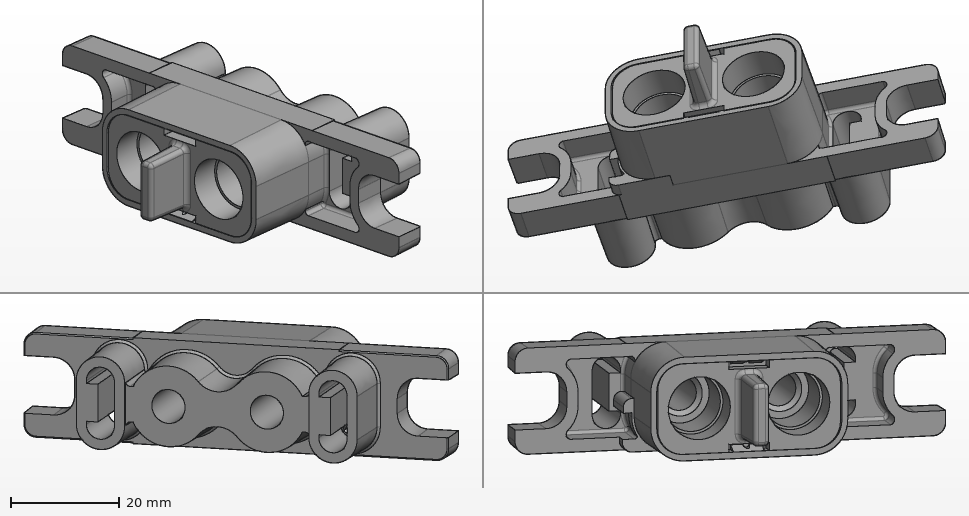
import cadquery as cq
import math

flange_length = 82.0
flange_height = 20.0
flange_thickness = 6.4
flange_middle_length = 39.7
flange_draft = 1.0
flange_back_chamfer = 0.25
tip_radius = 2.5
notch_width = 10.7
notch_floor_x = 31.2
notch_radius = 3.9

shroud_length = 38.0
shroud_depth = 14.6
shroud_corner_radius = 6.65
shroud_draft = 0.9

cavity_length = 35.3
cavity_height = 17.05
cavity_corner_radius = 5.1

pocket_depth = 5.1
pocket_height = 15.1
pocket_inner_x = 18.2
pocket_fork_wall = 2.1
pocket_bow_end_z = 5.8
pocket_outer_x = 31.25
pocket_corner_radius = 0.7
pocket_floor_fillet = 0.65

post_x = 22.4
post_radius = 4.9
post_straight = 8.2
post_back_y = 19.2
rear_draft = 1.2
barrel_x = 9.47
barrel_radius = 7.9
barrel_back_y = 18.5
valley_edge_x = 3.5
web_half_height = 3.6
web_fillet = 0.65
rear_base_skirt = 0.5

slot_radius = 2.7
slot_tongue_start = 0.5
slot_tongue_height = 7.1

key_outer_x = -21.0
key_front_y = -2.5
key_top_z = 0.1
key_bottom_z = -2.6
key_corner_radius = 1.55
foot_outer_x = -21.15
foot_lining = 0.4
foot_corner_radius = 1.8

insert_bore_radius = 5.9
insert_bore_depth = 5.7
insert_hole_radius = 5.4
contact_hole_radius = 3.2
contact_hole_chamfer = 0.9

insert_recess = 0.2
insert_end_gap = 0.25
blade_width = 3.45
blade_height = 12.2
blade_tip_y = -24.3
blade_draft = 1.5
blade_edge_radius = 0.9
blade_tip_radius = 0.8
blade_root_fillet = 0.94
latch_notch_width = 7.7
latch_notch_height = 1.5
latch_depth = 2.5
latch_width = 5.9
latch_height = 0.9
latch_groove_radius = 0.6

flange_half = flange_height / 2
shroud_front_y = -shroud_depth
insert_front_y = shroud_front_y + insert_recess
cavity_top_z = cavity_height / 2
pocket_bow_flat = notch_width - 2 * notch_radius
pocket_bow_radius = notch_radius + pocket_fork_wall
pocket_bow_x = notch_floor_x - pocket_fork_wall


def facing_front(y):
    """Work plane at y whose normal is -Y; local axes are X and Z."""
    return cq.Workplane("XZ", origin=(0, y, 0))


def facing_back(y):
    """Work plane at y whose normal is +Y; local axes are X and -Z."""
    return cq.Workplane(cq.Plane(origin=(0, y, 0), xDir=(1, 0, 0), normal=(0, 1, 0)))


def rounded_block(plane, length, height, radius, depth, taper=0.0):
    outline = cq.Sketch().rect(length, height).vertices().fillet(radius)
    return plane.placeSketch(outline).extrude(depth, taper=taper)


def mirrored_pair(solid):
    return solid.union(solid.mirror("YZ"))


def flange():
    middle = facing_back(0).rect(flange_middle_length, flange_height).extrude(flange_thickness)
    plate = (
        rounded_block(
            facing_back(0), flange_length, flange_height, tip_radius, flange_thickness, flange_draft
        )
        .faces(">Y").edges().chamfer(flange_back_chamfer)
    )
    notch_length = flange_length - notch_floor_x
    notch_centre_x = notch_floor_x + notch_length / 2
    notch = rounded_block(
        facing_back(0).center(notch_centre_x, 0),
        notch_length, notch_width, notch_radius, flange_thickness, -flange_draft,
    )
    return plate.union(middle).cut(mirrored_pair(notch))


def pocket_prism(front_y, depth):
    """Prism of the -X pocket outline, running back from front_y."""
    top = pocket_height / 2
    r = pocket_corner_radius
    slant = r * math.sqrt(0.5)
    flat = pocket_bow_flat / 2
    bow_centre_x = -pocket_bow_x - pocket_bow_radius

    def bow_x(z):
        return bow_centre_x + math.sqrt(pocket_bow_radius**2 - (z - flat) ** 2)

    bow_middle_z = (flat + pocket_bow_end_z) / 2
    corner_x = r - pocket_outer_x
    inner_x = -pocket_inner_x
    return (
        facing_back(front_y)
        .moveTo(-pocket_bow_x, -flat)
        .lineTo(-pocket_bow_x, flat)
        .threePointArc((bow_x(bow_middle_z), bow_middle_z), (bow_x(pocket_bow_end_z), pocket_bow_end_z))
        .threePointArc((corner_x - r, top - r), (corner_x, top))
        .lineTo(inner_x - r, top)
        .threePointArc((inner_x - r + slant, top - r + slant), (inner_x, top - r))
        .lineTo(inner_x, r - top)
        .threePointArc((inner_x - r + slant, r - slant - top), (inner_x - r, -top))
        .lineTo(corner_x, -top)
        .threePointArc((corner_x - r, r - top), (bow_x(pocket_bow_end_z), -pocket_bow_end_z))
        .threePointArc((bow_x(bow_middle_z), -bow_middle_z), (-pocket_bow_x, -flat))
        .close()
        .extrude(depth)
    )


def pocket():
    """Pocket of the -X side, bounded by the shroud wall and rounded along its floor."""
    shroud_core = rounded_block(
        facing_back(0), shroud_length, flange_height, shroud_corner_radius, pocket_depth
    )
    return pocket_prism(0, pocket_depth).cut(shroud_core).faces(">Y").edges().fillet(pocket_floor_fillet)


def shroud():
    return rounded_block(
        facing_front(0), shroud_length, flange_height, shroud_corner_radius, shroud_depth, shroud_draft
    )


def drafted_with_skirt(outline, height):
    """Drafted boss on the outline, widened by a sloped skirt at its base."""
    boss = outline.extrude(height, taper=rear_draft)
    skirt = outline.toPending().offset2D(rear_base_skirt).extrude(rear_base_skirt, taper=45)
    return boss.union(skirt)


def posts():
    post_height = post_straight + 2 * post_radius
    outline = facing_back(flange_thickness).center(post_x, 0).slot2D(post_height, 2 * post_radius, 90)
    return mirrored_pair(drafted_with_skirt(outline, post_back_y - flange_thickness))


def barrels():
    """Two barrels joined by a concave valley."""
    valley_radius = valley_edge_x * barrel_radius / (barrel_x - valley_edge_x)
    valley_centre_z = math.sqrt((barrel_radius + valley_radius) ** 2 - barrel_x**2)
    valley_z = valley_centre_z - valley_radius
    edge_z = valley_centre_z * barrel_radius / (barrel_radius + valley_radius)
    outer_x = barrel_x + barrel_radius
    outline = (
        facing_back(flange_thickness)
        .moveTo(-valley_edge_x, edge_z)
        .threePointArc((0, valley_z), (valley_edge_x, edge_z))
        .threePointArc((outer_x, 0), (valley_edge_x, -edge_z))
        .threePointArc((0, -valley_z), (-valley_edge_x, -edge_z))
        .threePointArc((-outer_x, 0), (-valley_edge_x, edge_z))
        .close()
    )
    return drafted_with_skirt(outline, barrel_back_y - flange_thickness)


def webs():
    """Web between each barrel and its post, filleted where it meets the post."""
    post_side_x = post_x - post_radius
    fillet_x = post_side_x - web_fillet
    fillet_z = web_half_height + web_fillet
    slant = web_fillet * math.sqrt(0.5)
    middle = (fillet_x + slant, fillet_z - slant)
    web = (
        facing_back(flange_thickness)
        .moveTo(barrel_x, -web_half_height)
        .lineTo(barrel_x, web_half_height)
        .lineTo(fillet_x, web_half_height)
        .threePointArc(middle, (post_side_x, fillet_z))
        .lineTo(post_x, fillet_z)
        .lineTo(post_x, -fillet_z)
        .lineTo(post_side_x, -fillet_z)
        .threePointArc((middle[0], -middle[1]), (fillet_x, -web_half_height))
        .close()
        .extrude(barrel_back_y - flange_thickness, taper=rear_draft)
    )
    return mirrored_pair(web)


def post_slot(x):
    plane = facing_back(0).center(x, 0)
    slot = plane.slot2D(post_straight + 2 * slot_radius, 2 * slot_radius, 90).extrude(post_back_y)
    tongue = (
        plane.center((slot_tongue_start + slot_radius) / 2, 0)
        .rect(slot_radius - slot_tongue_start, slot_tongue_height)
        .extrude(post_back_y)
    )
    return slot.cut(tongue)


def key():
    """Rounded key that stands on the pocket floor against the shroud wall."""
    length = -shroud_length / 2 - key_outer_x + 0.8
    height = key_top_z - key_bottom_z
    return (
        cq.Workplane("XY")
        .box(length, pocket_depth - key_front_y, height, centered=False)
        .edges("|Y and <X and >Z").fillet(key_corner_radius)
        .translate((key_outer_x, key_front_y, key_bottom_z))
    )


def foot():
    """Foot in front of the flange's lower edge, lining the shroud up to the key."""
    block = (
        cq.Workplane("XY")
        .box(-shroud_length / 4 - foot_outer_x, -key_front_y, key_bottom_z + flange_half, centered=False)
        .edges("|Y and <X and <Z").fillet(foot_corner_radius)
        .translate((foot_outer_x, key_front_y, -flange_half))
    )
    lining = rounded_block(
        facing_back(key_front_y),
        shroud_length + 2 * foot_lining,
        flange_height + 2 * foot_lining,
        shroud_corner_radius + foot_lining,
        -key_front_y,
    )
    return block.cut(pocket_prism(key_front_y, -key_front_y).cut(lining))


def cavity():
    return rounded_block(
        facing_front(0), cavity_length, cavity_height, cavity_corner_radius, shroud_depth
    )


def contact_holes():
    hole = facing_back(0).pushPoints([(-barrel_x, 0), (barrel_x, 0)])
    mouth_radius = contact_hole_radius + contact_hole_chamfer
    chamfer = hole.circle(mouth_radius).extrude(contact_hole_chamfer, taper=45)
    return hole.circle(contact_hole_radius).extrude(post_back_y).union(chamfer)


def latches():
    """Ramps on the cavity wall, rising away from the opening, each with a small groove."""
    ramp = (
        cq.Workplane("YZ", origin=(-latch_width / 2, 0, 0))
        .moveTo(insert_front_y, cavity_top_z)
        .lineTo(insert_front_y + latch_depth, cavity_top_z)
        .lineTo(insert_front_y + latch_depth, cavity_top_z - latch_height)
        .close()
        .extrude(latch_width)
    )
    groove = (
        facing_back(insert_front_y)
        .center(0, latch_height - cavity_top_z)
        .circle(latch_groove_radius)
        .extrude(latch_depth)
    )
    latch = ramp.cut(groove)
    return latch.union(latch.mirror("XY"))


def make_housing():
    body = flange().union(posts()).union(barrels()).union(webs())
    body = body.cut(mirrored_pair(pocket()))
    body = body.union(shroud()).union(foot()).union(key())
    body = body.cut(cavity()).cut(contact_holes())
    for x in (-post_x, post_x):
        body = body.cut(post_slot(x))
    return body.union(latches())


def blade():
    return (
        facing_front(insert_front_y)
        .rect(blade_width, blade_height)
        .extrude(insert_front_y - blade_tip_y, taper=blade_draft)
        .edges("not(<Y or >Y)").fillet(blade_edge_radius)
        .faces("<Y").edges().fillet(blade_tip_radius)
    )


def latch_notches():
    notch = (
        facing_back(insert_front_y)
        .center(0, cavity_top_z - latch_notch_height / 2)
        .rect(latch_notch_width, latch_notch_height)
        .extrude(latch_depth)
    )
    return notch.union(notch.mirror("XY"))


def make_insert():
    block = rounded_block(
        facing_front(0),
        cavity_length - 2 * insert_end_gap,
        cavity_height,
        cavity_corner_radius - insert_end_gap,
        -insert_front_y,
    )
    body = block.union(blade())
    root = cq.selectors.BoxSelector(
        (-blade_width, insert_front_y - 0.1, -blade_height * 0.55),
        (blade_width, insert_front_y + 0.1, blade_height * 0.55),
        boundingbox=True,
    )
    body = body.edges(root).fillet(blade_root_fillet)
    holes = facing_back(insert_front_y).pushPoints([(-barrel_x, 0), (barrel_x, 0)])
    body = body.cut(holes.circle(insert_bore_radius).extrude(insert_bore_depth))
    body = body.cut(holes.circle(insert_hole_radius).extrude(shroud_depth))
    return body.cut(latch_notches())


housing = make_housing()
insert = make_insert()
result = cq.Compound.makeCompound([housing.val(), insert.val()])